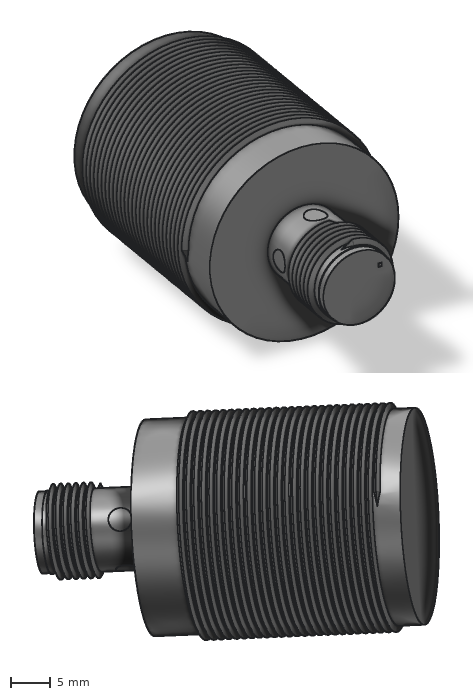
import cadquery as cq
import math

overall_length = 49.3
key_projection = 0.1
connector_end = overall_length - key_projection

barrel_radius = 13.9
barrel_length = 35.0

neck_radius = 5.35
collar_radius = 5.28
collar_start = 48.1

thread_pitch = 1.0
ridge_width = 0.8
ridge_sink = 0.1
runout_length = 2.1
barrel_crest_radius = 14.7
barrel_thread_start = 3.0
barrel_thread_turns = 26.5
barrel_thread_angle = 90.0
connector_crest_radius = 6.15
connector_thread_start = 41.5
connector_thread_turns = 6
connector_thread_angle = 180.0

window_radius = 1.55
window_x = 37.95

key_size = 0.5
key_y = 3.05
key_z = 2.5


def cylinder(start, end, radius):
    """Cylinder about the X axis between two X positions."""
    return cq.Workplane("YZ").workplane(offset=start).circle(radius).extrude(end - start)


def runout(section, root_radius, pitch, end_angle, end_height, direction):
    """Pyramid from a ridge end section to a point under the cylinder surface."""
    sweep = direction * runout_length / root_radius
    angle = end_angle + sweep
    tip = cq.Vector(
        root_radius * math.cos(angle),
        root_radius * math.sin(angle),
        end_height + pitch * sweep / (2 * math.pi),
    )
    corners = [
        cq.Vector(r * math.cos(end_angle), r * math.sin(end_angle), end_height + z)
        for r, z in section
    ]
    triangles = [corners] + [[corners[i - 1], corners[i], tip] for i in range(len(corners))]
    faces = [cq.Face.makeFromWires(cq.Wire.makePolygon(points, close=True)) for points in triangles]
    pyramid = cq.Solid.makeSolid(cq.Shell.makeShell(faces))
    return pyramid.fix()


def thread_ridge(surface_radius, crest_radius, start, turns, start_angle):
    """Right-handed ridge with faded ends, made along Z and then laid along X."""
    root_radius = surface_radius - ridge_sink
    ridge_height = crest_radius - surface_radius
    half_root = ridge_width / 2 * (crest_radius - root_radius) / ridge_height
    section = [(root_radius, -half_root), (crest_radius, 0), (root_radius, half_root)]
    length = turns * thread_pitch
    helix = cq.Wire.makeHelix(thread_pitch, length, surface_radius)
    ridge = cq.Workplane("XZ").polyline(section).close().sweep(cq.Workplane(helix), isFrenet=True)
    end_angle = 2 * math.pi * turns
    first_end = runout(section, root_radius, thread_pitch, 0, 0, -1)
    last_end = runout(section, root_radius, thread_pitch, end_angle, length, 1)
    pieces = [ridge.val(), first_end, last_end]
    origin = (0, 0, 0)
    return [
        piece.rotate(origin, (0, 1, 0), 90)
        .rotate(origin, (1, 0, 0), start_angle)
        .translate(cq.Vector(start, 0, 0))
        for piece in pieces
    ]


def make_light_guide():
    """Two crossing round bars, trimmed to the cylindrical surface of the neck."""
    bar_reach = 2 * neck_radius
    bar_y = cq.Workplane("XZ").center(window_x, 0).circle(window_radius).extrude(bar_reach, both=True)
    bar_z = cq.Workplane("XY").center(window_x, 0).circle(window_radius).extrude(bar_reach, both=True)
    return bar_y.union(bar_z).intersect(cylinder(barrel_length, collar_start, neck_radius))


def make_housing(light_guide):
    """Threaded barrel and connector in one piece, with a cross bore for the light guide."""
    housing = cylinder(0, barrel_length, barrel_radius)
    housing = housing.union(cylinder(barrel_length, collar_start, neck_radius))
    housing = housing.union(cylinder(collar_start, connector_end, collar_radius))
    key = (
        cq.Workplane("YZ")
        .workplane(offset=connector_end)
        .center(key_y, key_z)
        .rect(key_size, key_size)
        .extrude(key_projection)
    )
    housing = housing.union(key).cut(light_guide)
    barrel_thread = thread_ridge(
        barrel_radius, barrel_crest_radius, barrel_thread_start, barrel_thread_turns, barrel_thread_angle
    )
    connector_thread = thread_ridge(
        neck_radius,
        connector_crest_radius,
        connector_thread_start,
        connector_thread_turns,
        connector_thread_angle,
    )
    for piece in barrel_thread + connector_thread:
        housing = housing.union(cq.Workplane(piece))
    return housing


light_guide = make_light_guide()
housing = make_housing(light_guide)

result = cq.Compound.makeCompound([housing.val(), light_guide.val()])